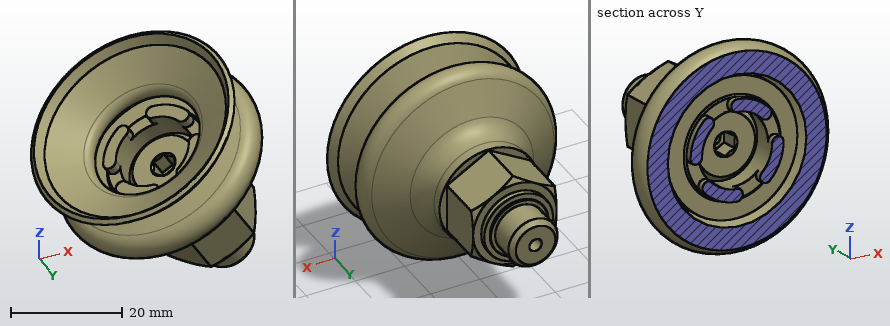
import cadquery as cq
import math

total_length = 42.5
sealing_radius = 40.35 / 2

rim_edge_height = 0.65
rim_face_radius = 19.3
inner_lip_radius = 17.98
inner_lip_height = 1.7
outer_lip_radius = 18.83
outer_lip_height = 2.35
waist_lower_radius = 12.9
waist_lower_height = 5.8
waist_radius = 12.45
waist_height = 6.9
waist_upper_radius = 13.18
waist_upper_height = 8.2
bulge_lower_radius = 17.42
bulge_lower_height = 9.0
bulge_radius = 20.0
bulge_height = 12.03
bulge_upper_radius = 18.55
bulge_upper_height = 14.65
neck_flare_radius = 12.55
neck_flare_height = 18.1
neck_curve_radius = 10.7
neck_curve_height = 20.0
throat_entry_radius = 11.77
throat_entry_height = 5.0
throat_radius = 10.65
throat_height = 6.15
throat_exit_radius = 11.18
throat_exit_height = 8.3
chamber_edge_radius = 17.65
chamber_lower_height = 10.85
chamber_upper_height = 13.1
chamber_roof_height = 17.45
wall = 1.83
neck_radius = 20.0 / 2
neck_start = 22.45
neck_end = 24.55

hex_across_flats = 17.0
hex_end = 34.6
hex_chamfer_angle = 30.0
hex_chamfer_radius = 8.5
shoulder_radius = 11.7 / 2
shoulder_end = 36.42
washer_radius = 14.0 / 2
washer_start = 34.85
washer_thickness = 1.15
stud_radius = 10.0 / 2
stud_chamfer = 0.98

pad_face_height = 8.92
pad_depth = 2.0
insert_base = pad_face_height + pad_depth
insert_face_radius = 19.5 / 2
insert_step_radius = 10.1
insert_end = 19.12
flange_radius = 13.6
flange_end = 16.15
bore_radius = 14.5 / 2
bore_floor = 14.7
boss_height = 1.15
pad_count = 4
pad_sweep = 45.0
gap_overcut = 1.28
through_diameter = 2.5
socket_across_flats = 4.1
socket_mouth_radius = 2.42
socket_depth = 4.0


def spin(outline):
    """Turn a closed (radius, height) outline about the Y axis."""
    return outline.close().revolve(360, (0, 0, 0), (0, 1, 0))


def cylinder(radius, start, end):
    """Cylinder along Y between two heights."""
    return cq.Workplane("XZ", origin=(0, start, 0)).circle(radius).extrude(start - end)


def hexagon(across_flats, start, end):
    """Hexagonal prism along Y with corners on the Z axis."""
    corner_circle = across_flats / math.cos(math.radians(30))
    plane = cq.Workplane("XZ", origin=(0, start, 0)).transformed(rotate=(0, 0, 90))
    return plane.polygon(6, corner_circle).extrude(start - end)


def make_bellows():
    """Rubber bellows with an open chamber behind the sealing rim."""
    outside = spin(
        cq.Workplane("XY")
        .moveTo(0, 0)
        .lineTo(rim_face_radius, 0)
        .lineTo(sealing_radius, rim_edge_height)
        .lineTo(outer_lip_radius, outer_lip_height)
        .lineTo(waist_lower_radius, waist_lower_height)
        .threePointArc(
            (waist_radius, waist_height), (waist_upper_radius, waist_upper_height)
        )
        .lineTo(bulge_lower_radius, bulge_lower_height)
        .threePointArc((bulge_radius, bulge_height), (bulge_upper_radius, bulge_upper_height))
        .lineTo(neck_flare_radius, neck_flare_height)
        .threePointArc((neck_curve_radius, neck_curve_height), (neck_radius, neck_start))
        .lineTo(neck_radius, neck_end)
        .lineTo(0, neck_end)
    )
    inside = spin(
        cq.Workplane("XY")
        .moveTo(0, 0)
        .lineTo(rim_face_radius, 0)
        .lineTo(inner_lip_radius, inner_lip_height)
        .lineTo(throat_entry_radius, throat_entry_height)
        .threePointArc((throat_radius, throat_height), (throat_exit_radius, throat_exit_height))
        .lineTo(chamber_edge_radius, chamber_lower_height)
        .threePointArc((bulge_radius - wall, bulge_height), (chamber_edge_radius, chamber_upper_height))
        .lineTo(neck_radius, chamber_roof_height)
        .lineTo(0, chamber_roof_height)
    )
    return outside.cut(inside)


def make_insert():
    """Bored insert with a flange, a raised ring for the pads and a chamfered boss in the bore."""
    edge_chamfer = insert_step_radius - insert_face_radius
    return spin(
        cq.Workplane("XY")
        .moveTo(0, bore_floor - boss_height)
        .lineTo(bore_radius - boss_height, bore_floor - boss_height)
        .lineTo(bore_radius, bore_floor)
        .lineTo(bore_radius, pad_face_height)
        .lineTo(insert_face_radius, pad_face_height)
        .lineTo(insert_face_radius, insert_base)
        .lineTo(insert_step_radius, insert_base + edge_chamfer)
        .lineTo(flange_radius, insert_base + edge_chamfer)
        .lineTo(flange_radius, flange_end)
        .lineTo(neck_radius, insert_end)
        .lineTo(0, insert_end)
    )


def make_pad_gap(first_angle):
    """Gap between two pads; its sides are hollow so that the pads keep round ends."""
    middle_radius = (insert_face_radius + bore_radius) / 2
    end_radius = (insert_face_radius - bore_radius) / 2
    second_angle = first_angle + 360 / pad_count - pad_sweep

    def point(radius, angle, sideways=0):
        turn = math.radians(angle)
        return (
            radius * math.cos(turn) - sideways * math.sin(turn),
            radius * math.sin(turn) + sideways * math.cos(turn),
        )

    return (
        cq.Workplane("XZ", origin=(0, insert_base, 0))
        .moveTo(*point(bore_radius - gap_overcut, first_angle))
        .lineTo(*point(bore_radius, first_angle))
        .threePointArc(
            point(middle_radius, first_angle, end_radius), point(insert_face_radius, first_angle)
        )
        .lineTo(*point(insert_face_radius + gap_overcut, first_angle))
        .lineTo(*point(insert_face_radius + gap_overcut, second_angle))
        .lineTo(*point(insert_face_radius, second_angle))
        .threePointArc(
            point(middle_radius, second_angle, -end_radius), point(bore_radius, second_angle)
        )
        .lineTo(*point(bore_radius - gap_overcut, second_angle))
        .close()
        .extrude(pad_depth)
    )


def make_hex_body():
    """Hexagon whose stud end is bevelled by a cone."""
    corner_radius = hex_across_flats / 2 / math.cos(math.radians(30))
    bevel = (corner_radius - hex_chamfer_radius) * math.tan(math.radians(hex_chamfer_angle))
    envelope = spin(
        cq.Workplane("XY")
        .moveTo(0, neck_end)
        .lineTo(corner_radius, neck_end)
        .lineTo(corner_radius, hex_end - bevel)
        .lineTo(hex_chamfer_radius, hex_end)
        .lineTo(0, hex_end)
    )
    return hexagon(hex_across_flats, neck_end, hex_end).intersect(envelope)


def make_stud():
    """Stud with a bevelled tip, standing on a shoulder that carries a washer."""
    shoulder = cylinder(shoulder_radius, hex_end, shoulder_end)
    washer = cylinder(washer_radius, washer_start, washer_start + washer_thickness)
    stud = cylinder(stud_radius, hex_end, total_length).faces(">Y").chamfer(stud_chamfer)
    return shoulder.union(washer).union(stud)


insert = make_insert()
for index in range(pad_count):
    insert = insert.cut(make_pad_gap(index * 360 / pad_count))

result = make_bellows().union(insert).union(make_hex_body()).union(make_stud())

boss_face = bore_floor - boss_height
socket_mouth = spin(
    cq.Workplane("XY")
    .moveTo(0, boss_face)
    .lineTo(socket_mouth_radius, boss_face)
    .lineTo(0, boss_face + socket_mouth_radius)
)
result = result.cut(hexagon(socket_across_flats, boss_face, boss_face + socket_depth))
result = result.cut(socket_mouth)
result = result.cut(cylinder(through_diameter / 2, 0, total_length))